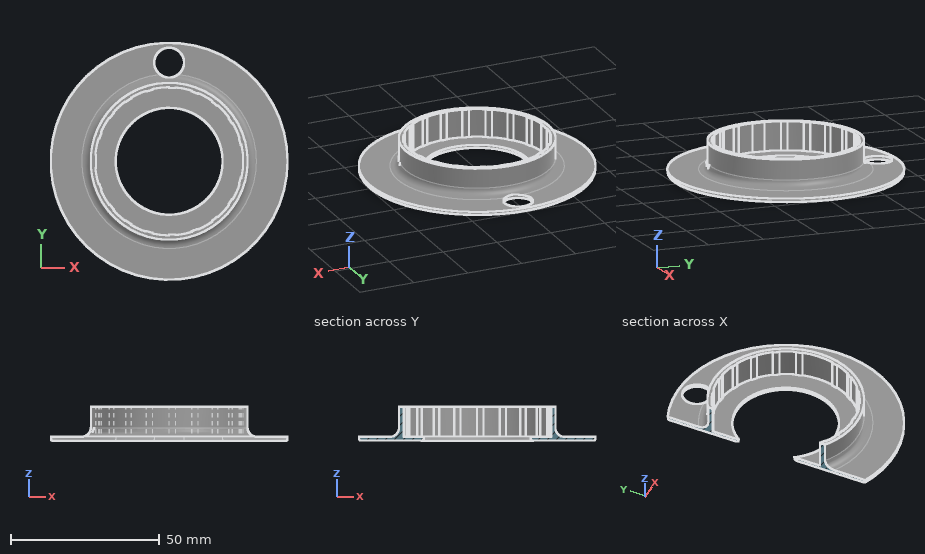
import cadquery as cq

flange_diameter = 80.0
flange_thickness = 1.4
edge_round = 0.8
bore_diameter = 36.0

total_height = 11.5
collar_outer_diameter = 53.0
collar_inner_diameter = 50.0
collar_fillet = 3.0

rib_tip_diameter = 49.5
rib_width = 2.2
rib_count_per_side = 10
rib_first_angle = 15.5
rib_pitch_angle = 18.0

hang_hole_diameter = 10.0
hang_hole_offset = 33.3


def make_flange():
    return cq.Workplane("XY").circle(flange_diameter / 2).extrude(flange_thickness)


def make_collar():
    """Revolve the collar wall together with the concave fillet at its foot."""
    inner_radius = collar_inner_diameter / 2
    outer_radius = collar_outer_diameter / 2
    fillet_top = flange_thickness + collar_fillet
    return (
        cq.Workplane("XZ")
        .moveTo(inner_radius, 0)
        .lineTo(inner_radius, total_height)
        .lineTo(outer_radius, total_height)
        .lineTo(outer_radius, fillet_top)
        .radiusArc((outer_radius + collar_fillet, flange_thickness), -collar_fillet)
        .lineTo(outer_radius + collar_fillet, 0)
        .close()
        .revolve(360, (0, 0, 0), (0, 1, 0))
    )


def make_rib(angle):
    """Cut a narrow radial slice from a thin ring lining the collar wall."""
    wall_radius = collar_outer_diameter / 2
    slice_bar = (
        cq.Workplane("XY")
        .box(wall_radius, rib_width, total_height, centered=(False, True, False))
        .rotate((0, 0, 0), (0, 0, 1), angle)
    )
    mid_wall_diameter = (collar_inner_diameter + collar_outer_diameter) / 2
    lining = (
        cq.Workplane("XY")
        .circle(mid_wall_diameter / 2)
        .circle(rib_tip_diameter / 2)
        .extrude(total_height)
    )
    return lining.intersect(slice_bar)


def through_hole(diameter, y_offset):
    return cq.Workplane("XY").center(0, y_offset).circle(diameter / 2).extrude(total_height)


body = (
    make_flange()
    .union(make_collar())
    .cut(through_hole(bore_diameter, 0))
    .cut(through_hole(hang_hole_diameter, hang_hole_offset))
)

body = body.faces("<Z").edges().fillet(edge_round)

for index in range(rib_count_per_side):
    rib_angle = rib_first_angle + index * rib_pitch_angle
    for side in (1, -1):
        body = body.union(make_rib(side * rib_angle))

result = body